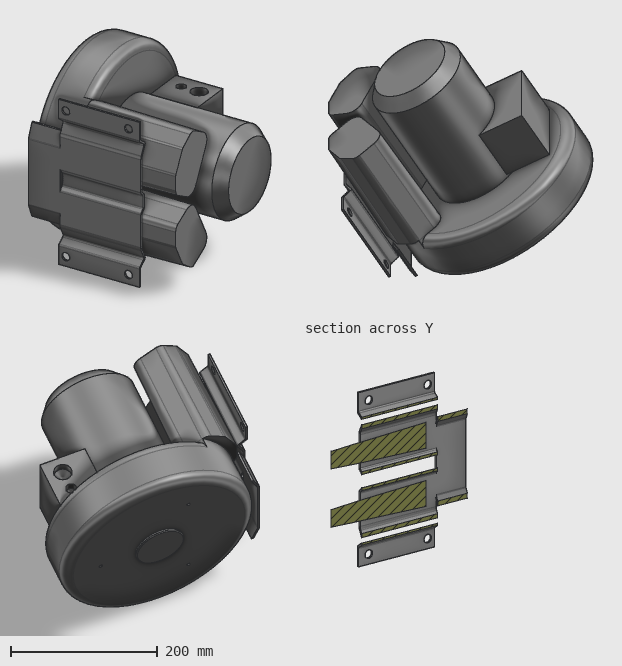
import cadquery as cq
import math


housing_diameter = 285.0
housing_radius = housing_diameter / 2
housing_length = 73.0
housing_fillet = 14.8
hub_radius = 35.5
hub_height = 4.0
hub_chamfer = 1.5
face_hole_count = 3
face_hole_radius = 2.5
face_hole_circle = 87.0
face_hole_depth = 6.0

motor_radius = 69.0
motor_end_radius = 55.2
motor_shoulder_x = 247.0
motor_end_x = 265.2

box_x = (77.0, 152.8)
box_y = (44.8, 112.0)
box_half_height = 52.8
cable_holes = ((101.0, 7.5), (129.7, 12.5))
cable_hole_y = 87.5
cable_hole_depth = 12.0
drill_half_angle = math.radians(59)

silencer_tilt = 28.0
silencer_end_x = 235.5
silencer_draft = 0.95
silencer_inner = 87.0
silencer_outer = 156.5
silencer_half_width = 48.5
silencer_nose_half_width = 19.5
silencer_inner_fillet = 20.2
silencer_shoulder_fillet = 13.5
silencer_nose_fillet = 9.0

sheet = 3.0
bend_radius = 3.0
plate_bend_radius = 12.0
tab_start_x = 2.7
bracket_start_x = 53.5
bracket_end_x = 183.0
overall_depth = 296.7
foot_y = housing_radius - overall_depth + sheet / 2
foot_top_z = 127.0
foot_bend_z = 98.0
valley_y = -139.7
valley_z = 88.5
plate_y = -149.0
plate_bend_z = 70.0
channel_y = -142.7
channel_half_width = 10.5
channel_mouth_half_width = channel_half_width + channel_y - plate_y
tab_flange_y = -139.7
tab_flange_z = 72.5
tab_bend_z = 50.5
foot_hole_x = (65.0, 165.5)
foot_hole_z = 112.2
foot_hole_radius = 6.2


def cylinder_x(radius, start_x, end_x, y=0, z=0):
    return cq.Workplane("YZ", origin=(start_x, y, z)).circle(radius).extrude(end_x - start_x)


def make_housing():
    drum = cylinder_x(housing_radius, 0, housing_length)
    drum = drum.faces("<X or >X").edges().fillet(housing_fillet)
    hub = cylinder_x(hub_radius, -hub_height, housing_length / 2)
    hub = hub.faces("<X").edges().chamfer(hub_chamfer)
    return drum.union(hub)


def cut_face_holes(body):
    for index in range(face_hole_count):
        angle = 2 * math.pi * index / face_hole_count
        y = face_hole_circle * math.cos(angle)
        z = face_hole_circle * math.sin(angle)
        body = body.cut(cylinder_x(face_hole_radius, 0, face_hole_depth, y, z))
    return body


def make_motor():
    start_x = housing_length / 2
    profile = [
        (start_x, 0),
        (start_x, motor_radius),
        (motor_shoulder_x, motor_radius),
        (motor_end_x, motor_end_radius),
        (motor_end_x, 0),
    ]
    return cq.Workplane("XY").polyline(profile).close().revolve(360, (0, 0, 0), (1, 0, 0))


def make_terminal_box():
    corner = (box_x[0], box_y[0], -box_half_height)
    box = cq.Workplane("XY").box(
        box_x[1] - box_x[0], box_y[1] - box_y[0], 2 * box_half_height, centered=False
    )
    box = box.translate(corner)
    for x, radius in cable_holes:
        wall_bottom = box_half_height - cable_hole_depth
        tip = wall_bottom - radius / math.tan(drill_half_angle)
        drill_profile = [(0, tip), (radius, wall_bottom), (radius, box_half_height), (0, box_half_height)]
        drill = cq.Workplane("XZ").polyline(drill_profile).close().revolve(360, (0, 0, 0), (0, 1, 0))
        box = box.cut(drill.translate((x, cable_hole_y, 0)))
    return box


def make_silencer(side):
    """Silencer on the +Z (side = 1) or -Z (side = -1) half.

    It is built with its radial axis along -Y, then turned to its tilt.
    """
    shoulder_drop = (silencer_half_width - silencer_nose_half_width) * math.tan(math.radians(silencer_tilt))
    shoulder_y = shoulder_drop - silencer_outer
    upper_half = [
        ((-silencer_inner, silencer_half_width), silencer_inner_fillet),
        ((shoulder_y, silencer_half_width), silencer_shoulder_fillet),
        ((-silencer_outer, silencer_nose_half_width), silencer_nose_fillet),
    ]
    lower_half = [((y, -z), radius) for (y, z), radius in reversed(upper_half)]
    corners = upper_half + lower_half
    polygon = cq.Wire.makePolygon([cq.Vector(*point) for point, radius in corners], close=True)
    section = cq.Face.makeFromWires(polygon)
    for point, radius in corners:
        nearest = min(section.Vertices(), key=lambda vertex: math.dist(vertex.toTuple()[:2], point))
        section = section.fillet2D(radius, [nearest])

    root_plane = cq.Plane.YZ((housing_length, 0, 0))
    outline = section.outerWire().moved(root_plane.location)

    def extruded(distance, draft=0):
        return cq.Workplane(root_plane).newObject([outline]).toPending().extrude(distance, taper=draft)

    tube = extruded(silencer_end_x - housing_length, silencer_draft)
    root = extruded(-housing_fillet)
    silencer = tube.union(root.intersect(cylinder_x(housing_radius, 0, housing_length)))
    return silencer.rotate((0, 0, 0), (1, 0, 0), -side * silencer_tilt)


def bent_sheet(upper_path, bend_radii, start_x, end_x):
    """Sheet bent along a (y, z) centre line that is mirrored in Z.

    bend_radii holds one radius for each point of upper_path after the first, which is a cut end.
    """
    path = upper_path + [(y, -z) for y, z in reversed(upper_path)]
    radii = bend_radii + bend_radii[::-1]
    slopes = [math.atan2(end[0] - start[0], start[1] - end[1]) for start, end in zip(path, path[1:])]

    end_shift = (sheet / 2 / math.cos(slopes[0]), 0.0)
    shifts = [end_shift]
    for before, after in zip(slopes, slopes[1:]):
        direction = (before + after) / 2
        miter = sheet / 2 / math.cos((after - before) / 2)
        shifts.append((miter * math.cos(direction), miter * math.sin(direction)))
    shifts.append(end_shift)

    inner = [(y + dy, z + dz) for (y, z), (dy, dz) in zip(path, shifts)]
    outer = [(y - dy, z - dz) for (y, z), (dy, dz) in zip(path, shifts)]
    strip = cq.Workplane("YZ", origin=(start_x, 0, 0)).polyline(inner + outer[::-1]).close()
    strip = strip.extrude(end_x - start_x)
    for (y, z), radius in zip(path[1:-1], radii):
        low = (start_x, y - sheet, z - sheet)
        high = (end_x, y + sheet, z + sheet)
        bend_edges = strip.edges(cq.selectors.BoxSelector(low, high)).edges("|X")
        strip = bend_edges.fillet(radius)
    return strip


def make_bracket():
    main_path = [
        (foot_y, foot_top_z),
        (foot_y, foot_bend_z),
        (valley_y, valley_z),
        (plate_y, plate_bend_z),
        (plate_y, channel_mouth_half_width),
        (channel_y, channel_half_width),
    ]
    main_radii = [bend_radius, bend_radius, plate_bend_radius, bend_radius, bend_radius]
    tab_path = [(tab_flange_y, tab_flange_z), (plate_y, tab_bend_z)]
    main_strip = bent_sheet(main_path, main_radii, bracket_start_x, bracket_end_x)
    tab = bent_sheet(tab_path, [bend_radius], tab_start_x, bracket_start_x)
    foot_holes = [(x, z) for x in foot_hole_x for z in (foot_hole_z, -foot_hole_z)]
    drills = cq.Workplane("XZ", origin=(0, foot_y + sheet, 0)).pushPoints(foot_holes)
    return main_strip.union(tab).cut(drills.circle(foot_hole_radius).extrude(2 * sheet))


result = make_housing().union(make_motor()).union(make_terminal_box())
for side in (1, -1):
    result = result.union(make_silencer(side))
result = cut_face_holes(result.union(make_bracket()))